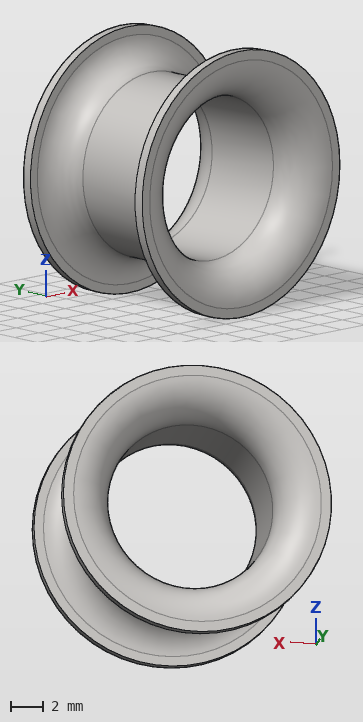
import cadquery as cq
import math

flange_radius = 8.3
length = 10.5
wall = 0.63
bore_radius = 5.13
inner_flare_radius = 2.54
outer_flare_radius = 1.96

barrel_radius = bore_radius + wall
end_y = length / 2
flange_inner_y = end_y - wall

bore_flare_start_y = end_y - inner_flare_radius
bore_flare_end_radius = bore_radius + inner_flare_radius
barrel_flare_start_y = flange_inner_y - outer_flare_radius
barrel_flare_end_radius = barrel_radius + outer_flare_radius


def flare_midpoint(cylinder_radius, start_y, arc_radius, side):
    """Middle of a flare arc in the (radius, Y) half-plane; side is +1 or -1 along Y."""
    reach = arc_radius * math.sin(math.radians(45))
    return (cylinder_radius + arc_radius - reach, side * (start_y + reach))


def bore_flare_midpoint(side):
    return flare_midpoint(bore_radius, bore_flare_start_y, inner_flare_radius, side)


def barrel_flare_midpoint(side):
    return flare_midpoint(barrel_radius, barrel_flare_start_y, outer_flare_radius, side)


def make_eyelet():
    """Thin-walled sleeve that flares into a flat flange at each end."""
    profile = (
        cq.Workplane("XY")
        .moveTo(bore_radius, -bore_flare_start_y)
        .lineTo(bore_radius, bore_flare_start_y)
        .threePointArc(bore_flare_midpoint(1), (bore_flare_end_radius, end_y))
        .lineTo(flange_radius, end_y)
        .lineTo(flange_radius, flange_inner_y)
        .lineTo(barrel_flare_end_radius, flange_inner_y)
        .threePointArc(barrel_flare_midpoint(1), (barrel_radius, barrel_flare_start_y))
        .lineTo(barrel_radius, -barrel_flare_start_y)
        .threePointArc(barrel_flare_midpoint(-1), (barrel_flare_end_radius, -flange_inner_y))
        .lineTo(flange_radius, -flange_inner_y)
        .lineTo(flange_radius, -end_y)
        .lineTo(bore_flare_end_radius, -end_y)
        .threePointArc(bore_flare_midpoint(-1), (bore_radius, -bore_flare_start_y))
        .close()
    )
    return profile.revolve(360, (0, 0, 0), (0, 1, 0))


eyelet = make_eyelet()

result = cq.Compound.makeCompound([eyelet.val()])